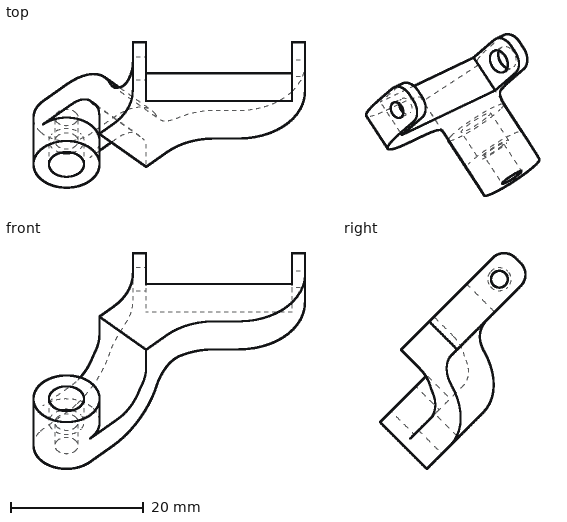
import cadquery as cq
import math

TILT_ANGLE = 45.0

BOSS_DIAMETER = 10.0
BOSS_HEIGHT = 10.0
BORE_DIAMETER = 5.3
BORE_DEPTH = 5.0
SCREW_HOLE_DIAMETER = 3.5

PLATE_THICKNESS = 6.0
PLATE_UNDERSIDE = 9.5
PLATE_TOP = PLATE_UNDERSIDE + PLATE_THICKNESS
PLATE_BACK = 19.0
PLATE_FRONT = 11.0
OUTLINE_RADIUS = 10.0

EAR_TIP = 27.0
EAR_THICKNESS = 2.0
LEFT_EAR_OUTER = 10.0
LEFT_EAR_INNER = LEFT_EAR_OUTER + EAR_THICKNESS
RIGHT_EAR_OUTER = 36.0
RIGHT_EAR_INNER = RIGHT_EAR_OUTER - EAR_THICKNESS
EAR_CORNER_RADIUS = 2.4
PIVOT_FROM_TIP = 4.0
LEFT_PIVOT_DIAMETER = 3.5
RIGHT_PIVOT_DIAMETER = 2.5

ARM_ANGLE = 45.0
ARM_WIDTH = BOSS_DIAMETER
ARM_THICKNESS = 5.0
STEP_DISTANCE = 12.0
STEP_HEIGHT = 4.0
BEND_RADIUS = 5.0
OUTER_BEND_RADIUS = 10.0
OUTER_BEND_START = 5.0
INNER_BEND_START = 6.0


def along_arm(distance, offset):
    """Plan position at a distance along the arm and an offset to its left."""
    angle = math.radians(ARM_ANGLE)
    x = distance * math.cos(angle) - offset * math.sin(angle)
    y = distance * math.sin(angle) + offset * math.cos(angle)
    return (x, y)


def on_circle(center, radius, degrees):
    """Point on a circle at an angle from the first axis."""
    angle = math.radians(degrees)
    return (center[0] + radius * math.cos(angle), center[1] + radius * math.sin(angle))


def point_toward(start, end, distance):
    """Point at a distance from start on the line to end."""
    ratio = distance / math.dist(start, end)
    return (start[0] + ratio * (end[0] - start[0]), start[1] + ratio * (end[1] - start[1]))


def arc_middle(center, start, end):
    """Middle of the shorter arc about center from start to end."""
    chord_middle = ((start[0] + end[0]) / 2, (start[1] + end[1]) / 2)
    return point_toward(center, chord_middle, math.dist(center, start))


def plate_outline(height):
    """Outline of plate and ears at a height; arcs blend the diagonal neck into the straight edges."""
    half_width = ARM_WIDTH / 2
    center_offset = (half_width + OUTLINE_RADIUS) / math.cos(math.radians(ARM_ANGLE))

    left_center_x = LEFT_EAR_OUTER - OUTLINE_RADIUS
    left_center = (left_center_x, left_center_x + center_offset)
    front_center_y = PLATE_FRONT - OUTLINE_RADIUS
    front_center = (front_center_y + center_offset, front_center_y)
    right_center = (RIGHT_EAR_OUTER - OUTLINE_RADIUS, PLATE_FRONT + OUTLINE_RADIUS)

    return (
        cq.Workplane("XY", origin=(0, 0, height))
        .moveTo(*along_arm(STEP_DISTANCE, -half_width))
        .lineTo(*on_circle(front_center, OUTLINE_RADIUS, 135))
        .threePointArc(
            on_circle(front_center, OUTLINE_RADIUS, 112.5),
            on_circle(front_center, OUTLINE_RADIUS, 90),
        )
        .lineTo(right_center[0], PLATE_FRONT)
        .threePointArc(
            on_circle(right_center, OUTLINE_RADIUS, -45),
            on_circle(right_center, OUTLINE_RADIUS, 0),
        )
        .lineTo(RIGHT_EAR_OUTER, EAR_TIP)
        .lineTo(RIGHT_EAR_INNER, EAR_TIP)
        .lineTo(RIGHT_EAR_INNER, PLATE_BACK)
        .lineTo(LEFT_EAR_INNER, PLATE_BACK)
        .lineTo(LEFT_EAR_INNER, EAR_TIP)
        .lineTo(LEFT_EAR_OUTER, EAR_TIP)
        .lineTo(*on_circle(left_center, OUTLINE_RADIUS, 0))
        .threePointArc(
            on_circle(left_center, OUTLINE_RADIUS, -22.5),
            on_circle(left_center, OUTLINE_RADIUS, -45),
        )
        .lineTo(*along_arm(STEP_DISTANCE, half_width))
        .close()
    )


def make_plate():
    plate = plate_outline(PLATE_UNDERSIDE).extrude(PLATE_THICKNESS)
    return plate.faces(">Y").edges("|X").fillet(EAR_CORNER_RADIUS)


def make_arm():
    """S-bend profile, distance along the arm by height, trimmed to the arm's plan shape."""
    outer_center = (OUTER_BEND_START, OUTER_BEND_RADIUS)
    fillet_height = PLATE_UNDERSIDE - BEND_RADIUS
    center_spacing = OUTER_BEND_RADIUS + BEND_RADIUS
    fillet_reach = math.sqrt(center_spacing**2 - (OUTER_BEND_RADIUS - fillet_height) ** 2)
    fillet_center = (OUTER_BEND_START + fillet_reach, fillet_height)
    outer_start = (OUTER_BEND_START, 0)
    outer_end = point_toward(outer_center, fillet_center, OUTER_BEND_RADIUS)
    fillet_end = (fillet_center[0], PLATE_UNDERSIDE)

    upper_center = (STEP_DISTANCE - BEND_RADIUS, PLATE_TOP - STEP_HEIGHT)
    lower_center = (INNER_BEND_START, ARM_THICKNESS + BEND_RADIUS)
    half_spacing = math.dist(upper_center, lower_center) / 2
    ridge_reach = math.sqrt((2 * BEND_RADIUS) ** 2 - half_spacing**2)
    spacing_angle = math.atan2(upper_center[1] - lower_center[1], upper_center[0] - lower_center[0])
    middle = ((upper_center[0] + lower_center[0]) / 2, (upper_center[1] + lower_center[1]) / 2)
    ridge_center = on_circle(middle, ridge_reach, math.degrees(spacing_angle) - 90)
    upper_start = (STEP_DISTANCE, upper_center[1])
    upper_end = point_toward(upper_center, ridge_center, BEND_RADIUS)
    lower_start = point_toward(lower_center, ridge_center, BEND_RADIUS)
    lower_end = (INNER_BEND_START, ARM_THICKNESS)

    arm_plane = cq.Plane(
        origin=(0, 0, 0),
        xDir=(*along_arm(1, 0), 0),
        normal=(*along_arm(0, -1), 0),
    )
    profile = (
        cq.Workplane(arm_plane)
        .lineTo(*outer_start)
        .threePointArc(arc_middle(outer_center, outer_start, outer_end), outer_end)
        .threePointArc(arc_middle(fillet_center, outer_end, fillet_end), fillet_end)
        .lineTo(fillet_end[0], PLATE_TOP)
        .lineTo(STEP_DISTANCE, PLATE_TOP)
        .lineTo(*upper_start)
        .threePointArc(arc_middle(upper_center, upper_start, upper_end), upper_end)
        .threePointArc(arc_middle(ridge_center, upper_end, lower_start), lower_start)
        .threePointArc(arc_middle(lower_center, lower_start, lower_end), lower_end)
        .lineTo(0, ARM_THICKNESS)
        .close()
    )
    bend = profile.extrude(ARM_WIDTH, both=True)

    strip = (
        cq.Workplane(cq.Plane(origin=(0, 0, 0), xDir=(*along_arm(1, 0), 0), normal=(0, 0, 1)))
        .rect(2 * STEP_DISTANCE, ARM_WIDTH)
        .extrude(PLATE_TOP)
    )
    return bend.intersect(strip.union(plate_outline(0).extrude(PLATE_TOP)))


def make_boss():
    return cq.Workplane("XY").circle(BOSS_DIAMETER / 2).extrude(BOSS_HEIGHT)


def drill_boss(body):
    """Screw hole through the boss, widened from the top down to a ledge."""
    screw_hole = cq.Workplane("XY").circle(SCREW_HOLE_DIAMETER / 2).extrude(BOSS_HEIGHT)
    ledge = cq.Workplane("XY", origin=(0, 0, BOSS_HEIGHT - BORE_DEPTH))
    bore = ledge.circle(BORE_DIAMETER / 2).extrude(BORE_DEPTH)
    return body.cut(screw_hole).cut(bore)


def drill_ear(body, left_face, diameter):
    """Pivot hole through the ear that starts at left_face."""
    pivot = (left_face, EAR_TIP - PIVOT_FROM_TIP, PLATE_UNDERSIDE + PLATE_THICKNESS / 2)
    hole = cq.Workplane("YZ", origin=pivot).circle(diameter / 2).extrude(EAR_THICKNESS)
    return body.cut(hole)


body = make_plate().union(make_arm()).union(make_boss())
body = drill_boss(body)
body = drill_ear(body, LEFT_EAR_OUTER, LEFT_PIVOT_DIAMETER)
body = drill_ear(body, RIGHT_EAR_INNER, RIGHT_PIVOT_DIAMETER)
result = body.rotate((0, 0, 0), (1, 0, 0), TILT_ANGLE)